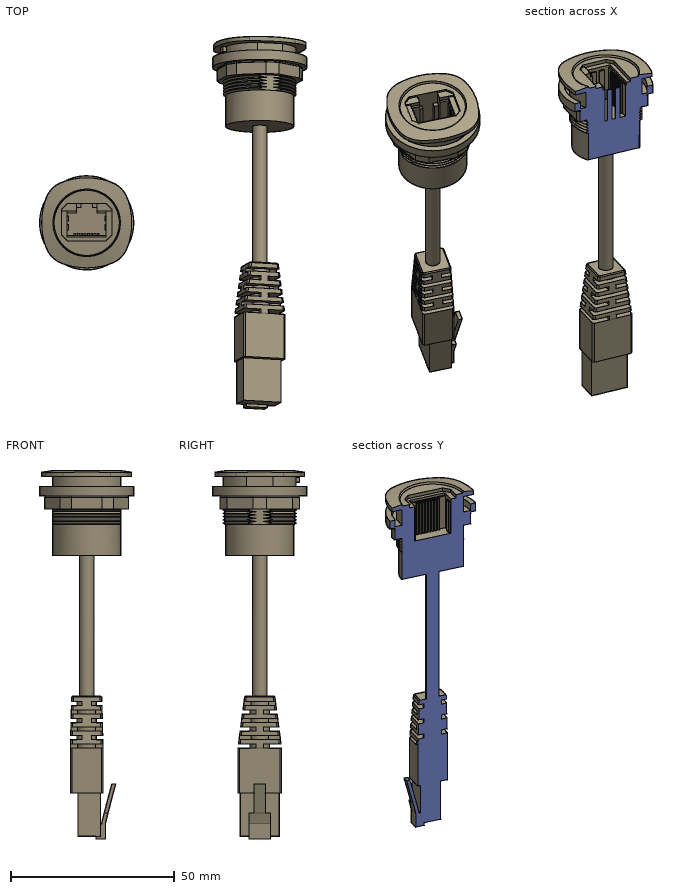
import cadquery as cq
import math


BEZEL_BOTTOM = -1.9
WASHER_TOP = -4.9
NUT_TOP = -7.8
NUT_BOTTOM = -11.9
THREAD_BOTTOM = -16.6
HOUSING_BOTTOM = -26.1
BOOT_TOP = -69.2
SLEEVE_TOP = -85.2
SLEEVE_BOTTOM = -99.0
PLUG_BOTTOM = -112.2
LATCH_BOTTOM = -113.1

BEZEL_HALF = 13.8
BEZEL_SIDE_RADIUS = 22.6
BEZEL_CORNER_REACH = 14.9
BEZEL_SLOPE = 0.15
INSERT_HOLE_DIAMETER = 20.7
INSERT_DIAMETER = 20.0
INSERT_TOP = -0.6

THREAD_DIAMETER = 22.4
THREAD_ROOT_DIAMETER = 21.0
THREAD_PITCH = 1.0
THREAD_TURNS = 5
HOUSING_DIAMETER = 20.9
NECK_FLAT_X = HOUSING_DIAMETER / 2
WASHER_DIAMETER = 29.0
WASHER_RECESS_DIAMETER = 25.3
WASHER_RECESS_DEPTH = 2.3
NUT_ACROSS_FLATS = 24.4
NUT_ACROSS_CORNERS = 25.8
NUT_COLLAR_HEIGHT = 0.5
NUT_COLLAR_INSET = 0.1
KEY_REACH = 12.2
KEY_WIDTH = 2.3
KEY_TOP = -2.0
KEY_BOTTOM = -3.6

RECESS_HALF_WIDTH = 7.7
RECESS_FRONT_Y = -5.5
RECESS_BACK_Y = 6.0
RECESS_CHAMFER = 1.8
RECESS_BOTTOM = -1.2
LEDGE_BOTTOM = -1.7
MOUTH_HALF_WIDTH = 6.0
MOUTH_FRONT_Y = -4.3
MOUTH_BACK_Y = 3.6
MOUTH_BOTTOM = -2.5
CAVITY_FRONT_Y = -3.8
CAVITY_BACK_Y = 2.9
CAVITY_BOTTOM = -13.6
KEYWAY_HALF_WIDTH = 3.2
KEYWAY_BACK_Y = 4.6
KEYWAY_STEP = -5.7
LATCH_SLOT_HALF_WIDTH = 1.8
CONTACT_COUNT = 8
CONTACT_PITCH = 1.0
CONTACT_WIDTH = 0.6
CONTACT_HEIGHT = 0.6
CONTACT_TOP = -2.8
SPRING_WIDTH = 1.6
SPRING_REACH = 0.5
SPRING_SPACING = 2.7

CABLE_DIAMETER = 4.5
BOOT_TOP_SIZE = 9.3
SLEEVE_X = 10.1
SLEEVE_Y = 13.5
BOOT_CHAMFER = 0.6
BOOT_EDGE = 0.3
TOP_RIB_HEIGHT = 1.7
SLOT_COUNT = 6
SLOT_HEIGHT = 1.2
SLOT_PITCH = (BOOT_TOP - SLEEVE_TOP - TOP_RIB_HEIGHT - SLOT_HEIGHT) / (SLOT_COUNT - 1)
SLOT_CORE_DIAMETER = 6.0
SLOT_WEB_X = 2.9
SLOT_WEB_Y = 2.4
PLUG_X_MIN = -2.7
PLUG_X_MAX = 4.3
PLUG_WIDTH = 12.1
LATCH_WIDTH = 6.7
LEVER_WIDTH = 3.4


def box(x0, x1, y0, y1, z0, z1):
    """Axis-aligned block between two corners."""
    return cq.Workplane("XY").box(x1 - x0, y1 - y0, z1 - z0, centered=False).translate((x0, y0, z0))


def disc(diameter, z0, z1):
    """Cylinder on the Z axis between two levels."""
    return cq.Workplane("XY").workplane(offset=z0).circle(diameter / 2).extrude(z1 - z0)


def turn(points):
    """Revolve a radius/height outline about the Z axis."""
    return cq.Workplane("XZ").polyline(points).close().revolve(360, (0, 0, 0), (0, 1, 0))


def rotated(x, y, quarters):
    """Point turned about the origin by a number of quarter turns."""
    angle = quarters * math.pi / 2
    return (x * math.cos(angle) - y * math.sin(angle), x * math.sin(angle) + y * math.cos(angle))


def bezel_blank():
    """Rounded square whose bowed sides run tangent into its corner arcs."""
    side_centre = BEZEL_SIDE_RADIUS - BEZEL_HALF
    radius_gap = BEZEL_SIDE_RADIUS - BEZEL_CORNER_REACH
    c = (side_centre**2 - radius_gap**2) / (2 * (math.sqrt(2) * radius_gap - side_centre))
    angle = math.atan2(c, c + side_centre)
    tangent_x = BEZEL_SIDE_RADIUS * math.cos(angle) - side_centre
    tangent_y = BEZEL_SIDE_RADIUS * math.sin(angle)
    corner = BEZEL_CORNER_REACH / math.sqrt(2)
    outline = cq.Workplane("XY").workplane(offset=BEZEL_BOTTOM).moveTo(tangent_x, -tangent_y)
    for quarter in range(4):
        side_middle = rotated(BEZEL_HALF, 0, quarter)
        side_end = rotated(tangent_x, tangent_y, quarter)
        corner_middle = rotated(corner, corner, quarter)
        corner_end = rotated(tangent_y, tangent_x, quarter)
        outline = outline.threePointArc(side_middle, side_end).threePointArc(corner_middle, corner_end)
    return outline.close().extrude(-BEZEL_BOTTOM)


def bezel():
    """Bezel plate with the conical top and the conical rim around the sunken round insert."""
    flat_radius = INSERT_HOLE_DIAMETER / 2
    cone_radius = WASHER_DIAMETER
    cone = turn([
        (0, 0),
        (flat_radius, 0),
        (cone_radius, -BEZEL_SLOPE * (cone_radius - flat_radius)),
        (cone_radius, 2 * BEZEL_BOTTOM),
        (0, 2 * BEZEL_BOTTOM),
    ])
    seat = turn([
        (0, 0),
        (flat_radius, 0),
        (INSERT_DIAMETER / 2, INSERT_TOP),
        (0, INSERT_TOP),
    ])
    return bezel_blank().intersect(cone).cut(seat)


def threaded_neck():
    """Plain neck above the nut and thread rings below it, with two side flats."""
    root = THREAD_ROOT_DIAMETER / 2
    crest = THREAD_DIAMETER / 2
    thread_top = THREAD_BOTTOM + THREAD_TURNS * THREAD_PITCH
    outline = [(0, THREAD_BOTTOM), (root, THREAD_BOTTOM)]
    for ring in range(THREAD_TURNS):
        ring_bottom = THREAD_BOTTOM + ring * THREAD_PITCH
        outline.append((crest, ring_bottom + THREAD_PITCH / 2))
        outline.append((root, ring_bottom + THREAD_PITCH))
    outline += [(crest, thread_top), (crest, BEZEL_BOTTOM), (0, BEZEL_BOTTOM)]
    flats = box(-NECK_FLAT_X, NECK_FLAT_X, -crest, crest, THREAD_BOTTOM, BEZEL_BOTTOM)
    key = box(-KEY_WIDTH / 2, KEY_WIDTH / 2, 0, KEY_REACH, KEY_BOTTOM, KEY_TOP)
    return turn(outline).intersect(flats).union(key)


def washer():
    """Sealing washer with a round recess in its upper face."""
    recess = disc(WASHER_RECESS_DIAMETER, WASHER_TOP - WASHER_RECESS_DEPTH, WASHER_TOP)
    return disc(WASHER_DIAMETER, NUT_TOP, WASHER_TOP).cut(recess)


def trimmed_hexagon(inset, z0, z1):
    """Hexagonal prism with two flats facing +Y and -Y and its six corners cut flat."""
    base = cq.Workplane("XY").workplane(offset=z0)
    flats = base.polygon(6, NUT_ACROSS_FLATS - 2 * inset, circumscribed=True).extrude(z1 - z0)
    corners = base.polygon(6, NUT_ACROSS_CORNERS - 2 * inset, circumscribed=True).extrude(z1 - z0)
    return flats.rotate((0, 0, 0), (0, 0, 1), 30).intersect(corners)


def nut():
    """Trimmed hexagon nut with a slightly smaller collar against the washer."""
    collar_bottom = NUT_TOP - NUT_COLLAR_HEIGHT
    body = trimmed_hexagon(0, NUT_BOTTOM, collar_bottom)
    return body.union(trimmed_hexagon(NUT_COLLAR_INSET, collar_bottom, NUT_TOP))


def socket_opening():
    """Chamfered recess, stepped jack cavity with its keyway, less the contacts and side springs."""
    recess = box(-RECESS_HALF_WIDTH, RECESS_HALF_WIDTH, RECESS_FRONT_Y, RECESS_BACK_Y, LEDGE_BOTTOM, 0)
    recess = recess.edges("|Z").chamfer(RECESS_CHAMFER)
    back_step = box(
        -RECESS_HALF_WIDTH, RECESS_HALF_WIDTH, MOUTH_BACK_Y, RECESS_BACK_Y, LEDGE_BOTTOM, RECESS_BOTTOM
    )
    recess = recess.cut(back_step)
    mouth = box(-MOUTH_HALF_WIDTH, MOUTH_HALF_WIDTH, MOUTH_FRONT_Y, MOUTH_BACK_Y, MOUTH_BOTTOM, 0)
    cavity = box(-MOUTH_HALF_WIDTH, MOUTH_HALF_WIDTH, CAVITY_FRONT_Y, CAVITY_BACK_Y, CAVITY_BOTTOM, 0)
    keyway = box(-KEYWAY_HALF_WIDTH, KEYWAY_HALF_WIDTH, 0, KEYWAY_BACK_Y, CAVITY_BOTTOM, 0)
    keyway_top = box(-KEYWAY_HALF_WIDTH, KEYWAY_HALF_WIDTH, 0, RECESS_BACK_Y, KEYWAY_STEP, 0)
    latch_slot = box(-LATCH_SLOT_HALF_WIDTH, LATCH_SLOT_HALF_WIDTH, 0, RECESS_BACK_Y, CAVITY_BOTTOM, 0)
    opening = recess
    for hollow in (mouth, cavity, keyway, keyway_top, latch_slot):
        opening = opening.union(hollow)
    for index in range(CONTACT_COUNT):
        x0 = (index - (CONTACT_COUNT - 1) / 2) * CONTACT_PITCH - CONTACT_WIDTH / 2
        contact_back = CAVITY_FRONT_Y + CONTACT_HEIGHT
        opening = opening.cut(
            box(x0, x0 + CONTACT_WIDTH, CAVITY_FRONT_Y, contact_back, CAVITY_BOTTOM, CONTACT_TOP)
        )
    for y in (-SPRING_SPACING / 2, SPRING_SPACING / 2):
        y0 = y - SPRING_WIDTH / 2
        y1 = y + SPRING_WIDTH / 2
        inner = MOUTH_HALF_WIDTH - SPRING_REACH
        opening = opening.cut(box(inner, MOUTH_HALF_WIDTH, y0, y1, CAVITY_BOTTOM, CONTACT_TOP))
        opening = opening.cut(box(-MOUTH_HALF_WIDTH, -inner, y0, y1, CAVITY_BOTTOM, CONTACT_TOP))
    return opening


def chamfered_rectangle(x_size, y_size):
    """Corner points of a centred rectangle with equal corner chamfers."""
    x = x_size / 2
    y = y_size / 2
    c = BOOT_CHAMFER
    return [
        (x, c - y), (x, y - c), (x - c, y), (c - x, y),
        (-x, y - c), (-x, c - y), (c - x, -y), (x - c, -y),
    ]


def boot():
    """Tapered strain relief with crosswise slots, standing on a straight sleeve."""
    sleeve_outline = chamfered_rectangle(SLEEVE_X, SLEEVE_Y)
    taper = (
        cq.Workplane("XY").workplane(offset=SLEEVE_TOP)
        .polyline(sleeve_outline).close()
        .workplane(offset=BOOT_TOP - SLEEVE_TOP)
        .polyline(chamfered_rectangle(BOOT_TOP_SIZE, BOOT_TOP_SIZE)).close()
        .loft(ruled=True)
        .faces(">Z").chamfer(BOOT_EDGE)
    )
    for index in range(SLOT_COUNT):
        slot_bottom = SLEEVE_TOP + (SLOT_COUNT - 1 - index) * SLOT_PITCH
        slot_top = slot_bottom + SLOT_HEIGHT
        core = disc(SLOT_CORE_DIAMETER, slot_bottom, slot_top)
        if index % 2 == 0:
            web = box(-SLOT_WEB_X / 2, SLOT_WEB_X / 2, -SLEEVE_Y, SLEEVE_Y, slot_bottom, slot_top)
        else:
            web = box(-SLEEVE_X, SLEEVE_X, -SLOT_WEB_Y / 2, SLOT_WEB_Y / 2, slot_bottom, slot_top)
        slot = box(-SLEEVE_X, SLEEVE_X, -SLEEVE_Y, SLEEVE_Y, slot_bottom, slot_top)
        taper = taper.cut(slot.cut(core).cut(web))
    sleeve = (
        cq.Workplane("XY").workplane(offset=SLEEVE_BOTTOM)
        .polyline(sleeve_outline).close()
        .extrude(SLEEVE_TOP - SLEEVE_BOTTOM)
    )
    return taper.union(sleeve)


def plate(points, width):
    """Extrude an X/Z outline symmetrically about the XZ plane."""
    return cq.Workplane("XZ").polyline(points).close().extrude(width / 2, both=True)


def latch():
    """Release latch: wide foot and root, then a narrower lever leaning away from the plug."""
    foot_x = 2.8
    back_x = 5.8
    lever_thickness = 1.2
    root_top = -108.3
    step_x = 5.3
    step_z = -105.1
    tip_x = 7.7
    tip_z = -96.1
    root = plate(
        [
            (foot_x, LATCH_BOTTOM),
            (back_x, LATCH_BOTTOM),
            (back_x, root_top),
            (step_x + lever_thickness, step_z),
            (step_x, step_z),
            (back_x - lever_thickness, root_top),
            (PLUG_X_MAX, root_top),
            (PLUG_X_MAX, PLUG_BOTTOM),
            (foot_x, PLUG_BOTTOM),
        ],
        LATCH_WIDTH,
    )
    lever = plate(
        [
            (step_x, step_z),
            (step_x + lever_thickness, step_z),
            (tip_x + lever_thickness, tip_z),
            (tip_x, tip_z),
        ],
        LEVER_WIDTH,
    )
    return root.union(lever)


housing = disc(HOUSING_DIAMETER, HOUSING_BOTTOM, THREAD_BOTTOM)
cable = disc(CABLE_DIAMETER, BOOT_TOP, HOUSING_BOTTOM)
plug = box(PLUG_X_MIN, PLUG_X_MAX, -PLUG_WIDTH / 2, PLUG_WIDTH / 2, PLUG_BOTTOM, SLEEVE_BOTTOM)

head = bezel().union(washer()).union(nut()).union(threaded_neck()).union(housing).cut(socket_opening())
result = head.union(cable).union(boot()).union(plug).union(latch())